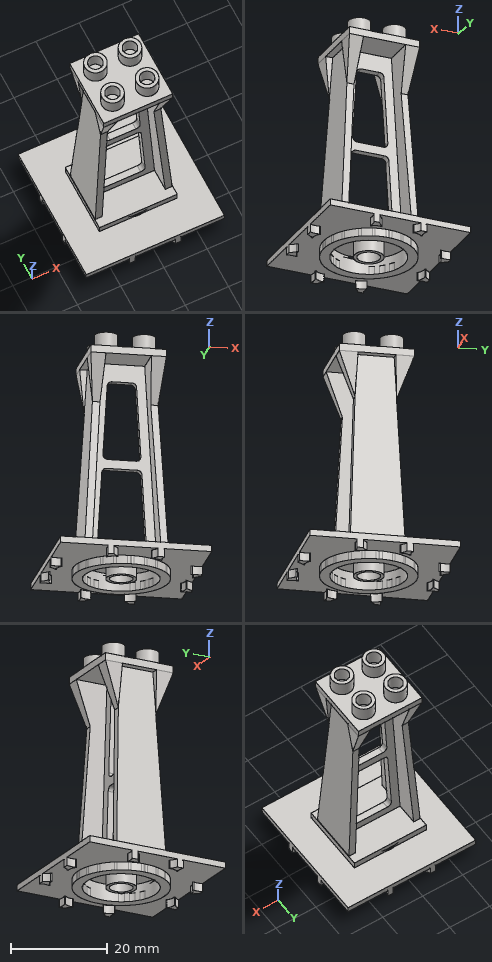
import cadquery as cq
import math

base_side = 32.0
underside_height = 1.8
base_thickness = 1.4
plinth_x = 18.0
plinth_y = 16.0
slab_thickness = 1.6
top_side = 16.0
total_height = 51.6

stud_pitch = 8.0
stud_diameter = 4.9
stud_bore_diameter = 3.2
stud_height = 3.5

wall_outer_foot = 8.9
wall_outer_head = 6.4
wall_thickness = 1.6
wall_half_depth_foot = 5.85
wall_half_depth_head = 4.0
gusset_height = 9.6

web_thickness = 1.6
window_rim = 2.0
window_fillet = 1.0
web_head_margin = 3.8
window_height = 17.0
window_bar = 2.0

ring_inner_diameter = 16.11
recess_rise = 0.45
tube_diameter = 6.4
ring_notch_swing = 16.26
ring_outer_diameter = 20.44
foot_neck_half_width = 0.64
foot_tip_half_width = 1.2
foot_side_radius = 3.2

base_top = underside_height + base_thickness
recess_top = base_top + recess_rise
plinth_top = base_top + slab_thickness
top_plate_top = total_height - stud_height
top_plate_bottom = top_plate_top - slab_thickness
gusset_bottom = top_plate_bottom - gusset_height
half_pitch = stud_pitch / 2
stud_radius = stud_diameter / 2


def slab(size_x, size_y, bottom, thickness):
    """Rectangular slab centred on the Z axis."""
    return cq.Workplane("XY", origin=(0, 0, bottom)).rect(size_x, size_y).extrude(thickness)


def taper(foot_value, head_value, z):
    """Linear interpolation between the foot and the head of the tower."""
    fraction = (z - plinth_top) / (top_plate_bottom - plinth_top)
    return foot_value + fraction * (head_value - foot_value)


def wall_outer(z):
    return taper(wall_outer_foot, wall_outer_head, z)


def wall_inner(z):
    return wall_outer(z) - wall_thickness


def wall_half_depth(z):
    return taper(wall_half_depth_foot, wall_half_depth_head, z)


def solid_from_faces(faces):
    """Closed polyhedron from lists of corner points."""
    planes = [cq.Face.makeFromWires(cq.Wire.makePolygon(points, close=True)) for points in faces]
    return cq.Workplane(cq.Solid.makeSolid(cq.Shell.makeShell(planes)))


def make_wall():
    """Leaning side wall on the +X side, narrowing upwards in Y."""
    z0, z1 = plinth_top, top_plate_bottom
    leaning = (
        cq.Workplane("XZ")
        .polyline([(wall_inner(z0), z0), (wall_outer(z0), z0), (wall_outer(z1), z1), (wall_inner(z1), z1)])
        .close()
        .extrude(wall_half_depth_foot, both=True)
    )
    y0, y1 = wall_half_depth_foot, wall_half_depth_head
    outline = (
        cq.Workplane("YZ")
        .polyline([(-y0, z0), (y0, z0), (y1, z1), (-y1, z1)])
        .close()
        .extrude(wall_outer_foot)
    )
    return leaning.intersect(outline)


def make_gusset():
    """Flared bracket from the wall's +Y edge out to the top plate's corner."""
    z0, z1 = gusset_bottom, top_plate_bottom
    corner = top_side / 2
    low_in = (wall_inner(z0), wall_half_depth(z0), z0)
    low_out = (wall_outer(z0), wall_half_depth(z0), z0)
    head_in = (wall_inner(z1), wall_half_depth(z1), z1)
    head_out = (corner, wall_half_depth(z1), z1)
    tip_in = (wall_inner(z1), corner, z1)
    tip_out = (corner, corner, z1)
    return solid_from_faces([
        [low_in, low_out, head_out, head_in],
        [head_in, head_out, tip_out, tip_in],
        [low_in, head_in, tip_in],
        [low_out, tip_out, head_out],
        [low_in, tip_in, tip_out, low_out],
    ])


def tapered_panel(bottom, top, rim, thickness):
    """Panel centred on Y = 0 whose sides stay a fixed rim inside the walls."""
    low = wall_inner(bottom) - rim
    high = wall_inner(top) - rim
    return (
        cq.Workplane("XZ")
        .polyline([(-low, bottom), (low, bottom), (high, top), (-high, top)])
        .close()
        .extrude(thickness / 2, both=True)
    )


def make_web():
    web = tapered_panel(plinth_top, top_plate_bottom, 0, web_thickness)
    upper_top = top_plate_bottom - web_head_margin
    for top in (upper_top, upper_top - window_height - window_bar):
        window = tapered_panel(top - window_height, top, window_rim, web_thickness)
        web = web.cut(window.edges("|Y").fillet(window_fillet))
    return web


def make_studs():
    return (
        cq.Workplane("XY", origin=(0, 0, top_plate_top))
        .rarray(stud_pitch, stud_pitch, 2, 2)
        .circle(stud_radius)
        .circle(stud_bore_diameter / 2)
        .extrude(stud_height)
    )


def make_ring():
    """Underside ring, relieved where the 4 x 4 studs of a mating plate pass.

    The same reliefs are repeated with the studs swung to either side.
    """
    ring = (
        cq.Workplane("XY")
        .circle(ring_outer_diameter / 2)
        .circle(ring_inner_diameter / 2)
        .extrude(underside_height)
    )
    mating_studs = (
        cq.Workplane("XY")
        .rarray(stud_pitch, stud_pitch, 4, 4)
        .circle(stud_radius)
        .extrude(underside_height)
    )
    for swing in (0, ring_notch_swing, -ring_notch_swing):
        ring = ring.cut(mating_studs.rotate((0, 0, 0), (0, 0, 1), swing))
    return ring


def make_recess():
    """Blind bore through the ring and base plate into the plinth.

    It is slightly wider than the plinth is deep, so it opens a small slit in each of the plinth's Y faces.
    """
    return cq.Workplane("XY").circle(ring_inner_diameter / 2).extrude(recess_top)


def make_centre_tube():
    """Tube on the Z axis, hanging from the recess roof between the four inner mating studs."""
    return (
        cq.Workplane("XY")
        .circle(tube_diameter / 2)
        .circle(stud_radius)
        .extrude(recess_top)
    )


def make_foot():
    """Foot behind the mating stud at (1.5 pitch, 0.5 pitch), reaching the +X edge.

    It is laid out along X from the stud centre, then swung onto the radial line.
    """
    stud_x, stud_y = stud_pitch + half_pitch, half_pitch
    swing = math.degrees(math.atan2(stud_y, stud_x))
    neck_x = math.hypot(stud_x, stud_y) * (base_side / 2 / stud_x - 1)
    side_y = foot_neck_half_width + foot_side_radius
    foot = (
        cq.Workplane("XY")
        .center(neck_x, 0)
        .rect(2 * neck_x, 2 * foot_tip_half_width)
        .extrude(underside_height)
    )
    hollows = (
        cq.Workplane("XY")
        .pushPoints([(neck_x, side_y), (neck_x, -side_y)])
        .circle(foot_side_radius)
        .extrude(underside_height)
    )
    stud = cq.Workplane("XY").circle(stud_radius).extrude(underside_height)
    foot = foot.cut(hollows).cut(stud)
    foot = foot.rotate((0, 0, 0), (0, 0, 1), swing).translate((stud_x, stud_y, 0))
    return foot.intersect(slab(base_side, base_side, 0, underside_height))


result = slab(base_side, base_side, underside_height, base_thickness)
result = result.union(slab(plinth_x, plinth_y, base_top, slab_thickness))
result = result.cut(make_recess()).union(make_centre_tube())
result = result.union(slab(top_side, top_side, top_plate_bottom, slab_thickness))
result = result.union(make_studs()).union(make_web()).union(make_ring())

wall = make_wall()
result = result.union(wall).union(wall.mirror("YZ"))

gusset = make_gusset()
gusset_pair = gusset.union(gusset.mirror("XZ"))
result = result.union(gusset_pair).union(gusset_pair.mirror("YZ"))

foot = make_foot()
foot_pair = foot.union(foot.mirror("XZ"))
for quarter in range(4):
    result = result.union(foot_pair.rotate((0, 0, 0), (0, 0, 1), 90 * quarter))